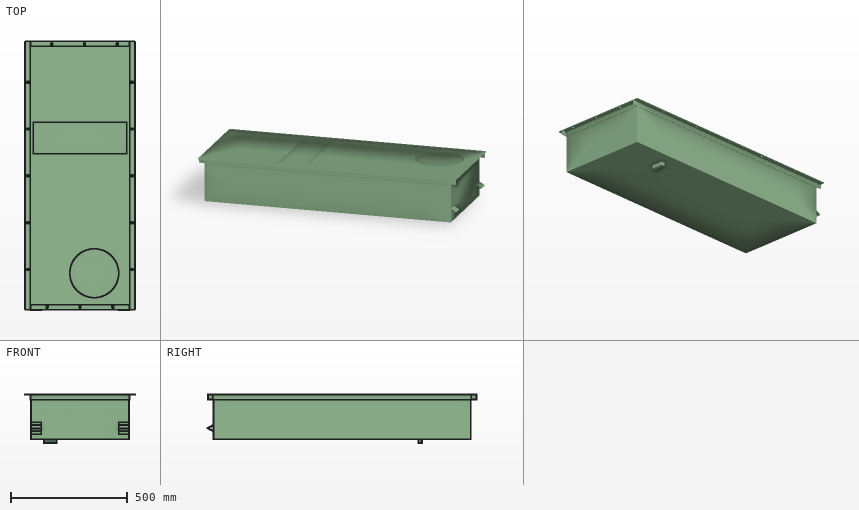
import cadquery as cq

plate_width = 471.0
plate_length = 1150.0
plate_thickness = 2.0
plate_corner_radius = 6.0

cabinet_width = 421.0
cabinet_bottom = -193.0
end_overhang = 24.0
cabinet_length = plate_length - 2 * end_overhang
cabinet_front = -cabinet_length / 2

skirt_thickness = 2.0
skirt_bottom = -23.0

window_width = 401.0
window_length = 136.0
window_y = 161.0
opening_diameter = 210.0
opening_x = 61.0
opening_y = -418.0

slot_length = 9.0
slot_width = 6.0
slot_inset = 13.0
side_slot_pitch = 200.0
side_slot_count = 5
side_slot_middle_y = -1.0
end_slot_pitch = 140.0
back_slot_shift = 20.0

drain_width = 55.0
drain_length = 17.0
drain_x = -127.0
drain_y = 334.0
outer_height = 210.0

clip_width = 45.0
clip_sheet = 1.0
clip_tip_wall = 3.0
clip_tab_thickness = 0.5
clip_top = -121.0
clip_upper_bend = -131.0
clip_tip = -145.0
clip_lower_bend = -159.0
clip_bottom = -172.0
outer_length = 1152.0
clip_reach = outer_length - plate_length + end_overhang


def block(width, length, bottom, top, x=0.0, y=0.0):
    """Box centred at (x, y) that spans bottom to top in Z."""
    return cq.Workplane("XY", origin=(x, y, bottom)).box(
        width, length, top - bottom, centered=(True, True, False)
    )


def make_skirt():
    """Side strips as long as the plate, end strips against the cabinet."""
    outer_width = cabinet_width + 2 * skirt_thickness
    sides = block(outer_width, plate_length, skirt_bottom, -plate_thickness).cut(
        block(cabinet_width, plate_length, skirt_bottom, -plate_thickness)
    )
    ends = block(cabinet_width, cabinet_length + 2 * skirt_thickness, skirt_bottom, -plate_thickness)
    return sides.union(ends)


def make_slots():
    """Slots point inwards, across the rim they sit on."""
    side_x = plate_width / 2 - slot_inset
    end_y = plate_length / 2 - slot_inset
    side_points = []
    for index in range(side_slot_count):
        y = side_slot_middle_y + (index - (side_slot_count - 1) / 2) * side_slot_pitch
        side_points += [(-side_x, y), (side_x, y)]
    end_points = []
    for index in (-1, 0, 1):
        x = index * end_slot_pitch
        end_points += [(x, -end_y), (x + back_slot_shift, end_y)]
    start = cq.Workplane("XY", origin=(0, 0, -plate_thickness))
    side_slots = start.pushPoints(side_points).slot2D(slot_length, slot_width).extrude(plate_thickness)
    end_slots = start.pushPoints(end_points).slot2D(slot_length, slot_width, 90).extrude(plate_thickness)
    return side_slots.union(end_slots)


def make_clip(x):
    """Flat tabs on the cabinet with a hollow V between them."""
    face = cabinet_front
    tab = face - clip_tab_thickness
    tip = face - clip_reach
    outer = [
        (face, clip_top),
        (tab, clip_top),
        (tab, clip_upper_bend),
        (tip, clip_tip),
        (tab, clip_lower_bend),
        (tab, clip_bottom),
        (face, clip_bottom),
    ]
    hollow = [
        (face, clip_upper_bend - clip_sheet),
        (tip + clip_tip_wall, clip_tip),
        (face, clip_lower_bend + clip_sheet),
    ]
    side = cq.Workplane("YZ", origin=(x, 0, 0))
    sheet = side.polyline(outer).close().extrude(clip_width / 2, both=True)
    return sheet.cut(side.polyline(hollow).close().extrude(clip_width / 2, both=True))


plate = block(plate_width, plate_length, -plate_thickness, 0).edges("|Z").fillet(plate_corner_radius)
window = block(window_width, window_length, -plate_thickness, 0, y=window_y)
opening = (
    cq.Workplane("XY", origin=(opening_x, opening_y, -plate_thickness))
    .circle(opening_diameter / 2)
    .extrude(plate_thickness)
)
plate = plate.cut(window).cut(opening).cut(make_slots())

cabinet = block(cabinet_width, cabinet_length, cabinet_bottom, -plate_thickness)
drain = block(drain_width, drain_length, -outer_height, cabinet_bottom, drain_x, drain_y)

result = plate.union(cabinet).union(make_skirt()).union(drain)
clip_x = (cabinet_width - clip_width) / 2
for x in (-clip_x, clip_x):
    result = result.union(make_clip(x))